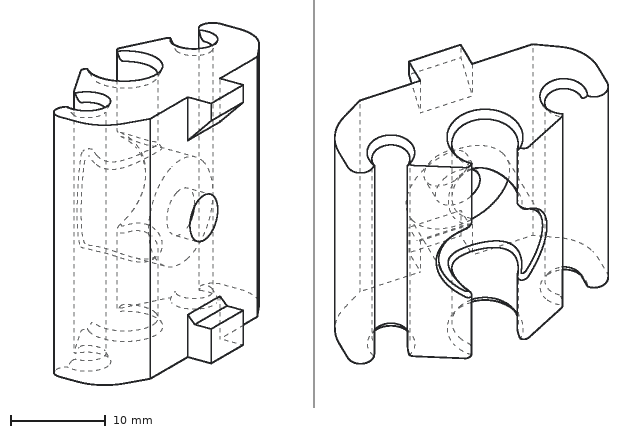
import cadquery as cq
import math

length = 30.0
half_width = 15.0
back_half_width = 10.0
shoulder_corner_x = -3.0
shoulder_radius = 5.0

main_x = -10.17
main_radius = 3.5
side_x = -8.15
side_y = 10.0
side_radius = 2.0
mouth_depth = 1.0
mouth_flare = 0.5

tip_radius = 0.7
front_x = -13.35
side_tip_y = 8.22

seat_radius = 6.0
seat_floor_x = -3.0
seat_chamfer = 0.45
screw_hole_diameter = 5.2
rim_tolerance = 0.003

lug_depth = 3.0
lug_half_width = 3.0
bottom_lug_height = 4.0
bottom_lug_gusset = 0.9
top_lug_edge_height = 2.0


def polar(center, radius, angle):
    return (center[0] + radius * math.cos(angle), center[1] + radius * math.sin(angle))


def direction(start, end):
    return math.atan2(end[1] - start[1], end[0] - start[0])


def make_half_block():
    """Half of the block on the +Y side, cut off at the Y = 0 plane."""
    main_center = (main_x, 0)
    side_center = (side_x, side_y)

    main_tip_x = front_x + tip_radius
    main_tip = (main_tip_x, math.sqrt((main_radius + tip_radius) ** 2 - (main_x - main_tip_x) ** 2))
    side_tip_reach = math.sqrt((side_radius + tip_radius) ** 2 - (side_y - side_tip_y) ** 2)
    side_tip = (side_x - side_tip_reach, side_tip_y)
    flank_normal = direction(main_tip, side_tip) + math.pi / 2
    to_main_tip = direction(main_center, main_tip)
    from_main_tip = direction(main_tip, main_center) + 2 * math.pi
    from_side_tip = direction(side_tip, side_center)

    hook_radius = (half_width - side_y - side_radius) / 2
    hook_center = (side_x, half_width - hook_radius)

    slope = math.atan2(half_width - back_half_width, -shoulder_corner_x)
    tangent_length = shoulder_radius * math.tan(slope / 2)
    shoulder_start = (shoulder_corner_x - tangent_length, half_width)
    shoulder_center = (shoulder_start[0], half_width - shoulder_radius)
    shoulder_middle = polar(shoulder_center, shoulder_radius, math.pi / 2 - slope / 2)
    shoulder_end = polar(shoulder_center, shoulder_radius, math.pi / 2 - slope)

    return (
        cq.Workplane("XY")
        .moveTo(0, 0)
        .lineTo(main_x + main_radius, 0)
        .threePointArc(polar(main_center, main_radius, to_main_tip / 2),
                       polar(main_center, main_radius, to_main_tip))
        .threePointArc(polar(main_tip, tip_radius, (from_main_tip + flank_normal) / 2),
                       polar(main_tip, tip_radius, flank_normal))
        .lineTo(*polar(side_tip, tip_radius, flank_normal))
        .threePointArc(polar(side_tip, tip_radius, (flank_normal + from_side_tip) / 2),
                       polar(side_tip, tip_radius, from_side_tip))
        .threePointArc((side_x + side_radius, side_y), (side_x, side_y + side_radius))
        .threePointArc((side_x - hook_radius, hook_center[1]), (side_x, half_width))
        .lineTo(*shoulder_start)
        .threePointArc(shoulder_middle, shoulder_end)
        .lineTo(0, back_half_width)
        .close()
        .extrude(length)
    )


def make_mouth(x, y, radius):
    """Cones that flare a channel at both of its ends."""
    bottom = cq.Solid.makeCone(
        radius + mouth_flare, radius, mouth_depth, cq.Vector(x, y, 0), cq.Vector(0, 0, 1)
    )
    top = cq.Solid.makeCone(
        radius + mouth_flare, radius, mouth_depth, cq.Vector(x, y, length), cq.Vector(0, 0, -1)
    )
    return cq.Workplane(bottom).add(top)


def make_lugs():
    """Bottom lug with a small gusset and top lug with a 45 degree underside."""
    bottom_points = [
        (0, 0),
        (lug_depth, 0),
        (lug_depth, bottom_lug_height),
        (bottom_lug_gusset, bottom_lug_height),
        (0, bottom_lug_height + bottom_lug_gusset),
    ]
    top_edge_z = length - top_lug_edge_height
    top_points = [
        (0, length),
        (lug_depth, length),
        (lug_depth, top_edge_z),
        (0, top_edge_z - lug_depth),
    ]
    profile = cq.Workplane("XZ")
    bottom = profile.polyline(bottom_points).close().extrude(lug_half_width, both=True)
    top = profile.polyline(top_points).close().extrude(lug_half_width, both=True)
    return bottom, top


def cut_screw_seat(body):
    """Round pocket from the front with its rim chamfered, and a hole through the back."""
    axis_plane = cq.Workplane("YZ", origin=(seat_floor_x, 0, length / 2))
    seat = axis_plane.circle(seat_radius).extrude(front_x - seat_floor_x)
    hole = axis_plane.circle(screw_hole_diameter / 2).extrude(-seat_floor_x)
    body = body.cut(seat)

    def on_rim(edge):
        points = [edge.positionAt(t) for t in (0, 0.5, 1)]
        return all(
            p.x < seat_floor_x - seat_chamfer
            and abs(math.hypot(p.y, p.z - length / 2) - seat_radius) < rim_tolerance
            for p in points
        )

    rim = [edge for edge in body.edges().vals() if on_rim(edge)]
    return body.newObject(rim).chamfer(seat_chamfer).cut(hole)


half_block = make_half_block()
block = half_block.union(half_block.mirror("XZ")).clean()
block = cut_screw_seat(block)

block = block.cut(make_mouth(main_x, 0, main_radius))
for side in (-1, 1):
    block = block.cut(make_mouth(side_x, side * side_y, side_radius))

for lug in make_lugs():
    block = block.union(lug)

result = block